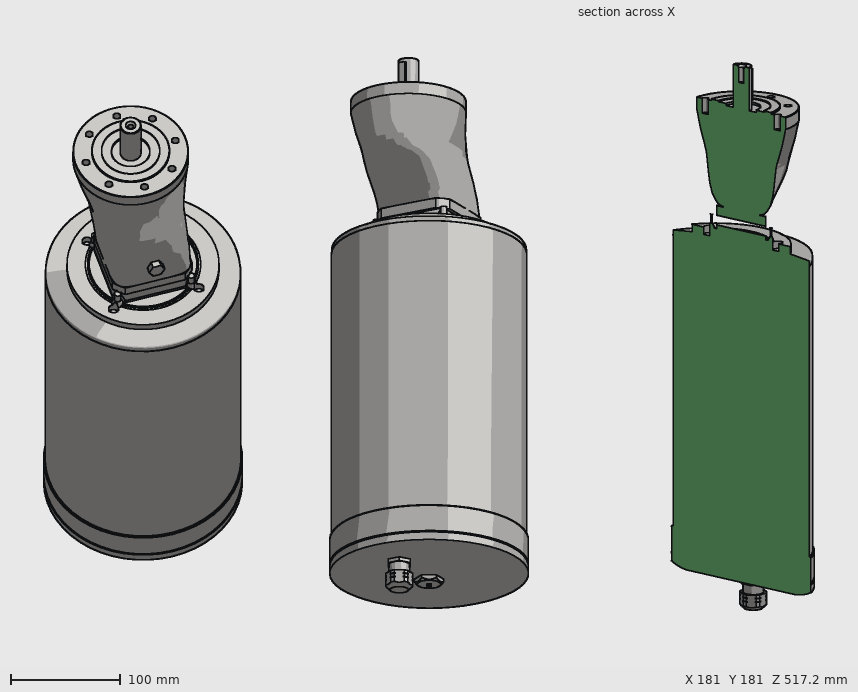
import cadquery as cq
import math


MOTOR_D = 178.0
CAP_D = 181.0
CAP_HEIGHT = 39.5
CAP_EDGE_DROP = 5.5
CAP_EDGE_INSET = 16.0
CAP_GROOVE_Z = 13.0
CAP_GROOVE_WIDTH = 1.2
CAP_GROOVE_DEPTH = 0.4
JOINT_CHAMFER = 1.0
MOTOR_TOP = 322.0
MOTOR_SLOPE_DROP = 2.5
MOTOR_ROUND = 1.5
MOTOR_BAND_DROP = 7.3
MOTOR_STEP = 0.3

PLATE_D = 138.5
PLATE_TOP = 329.0
PLATE_BOLT_CIRCLE = 115.0
PLATE_BOLT_COUNT = 4
PLATE_BOLT_D = 9.0

NECK_ACROSS = 76.0
NECK_CORNER_D = 95.0
NECK_TOP = 352.0
NECK_LEDGE = 342.5
NECK_WAIST_ACROSS = 69.0
NECK_SKIRT_TOP = 333.0
POST_D = 6.0
POST_OFFSET = NECK_ACROSS / 2 - POST_D / 2
FOOT_D = 11.0
FOOT_HEIGHT = 5.0
FOOT_RING_DIAMETERS = (105.0, 101.0, 98.0)
FOOT_RING_STEP = 0.4

OUTPUT_D = 105.0
OUTPUT_X = OUTPUT_D / 2 - CAP_D / 2
FLANGE_BOTTOM = 439.0
FLANGE_TOP = 450.5
FLANGE_BOLT_CIRCLE = 85.0
FLANGE_BOLT_COUNT = 8
FLANGE_BOLT_D = 6.65
FLANGE_BOLT_DEPTH = 14.0
PILOT_D = 71.0
PILOT_HEIGHT = 1.3
RIM_CHAMFER = 0.5
RECESS_D = 53.0
RECESS_DEPTH = 1.0
SEAL_D = 35.0
SEAL_DEPTH = 2.0
SHAFT_D = 19.0
SHAFT_TIP = 489.5
SHAFT_CHAMFER = 0.6
CENTRE_HOLE_D = 4.92
CENTRE_HOLE_DEPTH = 16.0
CENTRE_SINK_D = 9.0
CENTRE_SINK_ANGLE = 90.0
KEY_WIDTH = 6.0
KEY_LENGTH = 30.0
KEY_TIP_GAP = 5.0
KEY_PROUD = 3.0

ROUND = 2.0
NECK_SQUARENESS = math.log(2) / math.log(math.sqrt(2) * NECK_ACROSS / NECK_CORNER_D)
SECTION_POINTS = 32
FLANGE_SECTION = (FLANGE_BOTTOM, OUTPUT_X - OUTPUT_D / 2, OUTPUT_X + OUTPUT_D / 2, OUTPUT_D / 2, ROUND)
SHOULDER_SECTION = (422.0, -89.0, 19.0, 48.5, 2.05)
BAND_TOP_SECTION = (403.5, -84.5, 29.5, 42.5, 2.3)
BAND_BOTTOM_SECTION = (399.0, -82.5, 31.5, 41.5, 2.4)
BEND_SECTION = (385.0, -71.0, 36.0, 40.0, 3.0)
THROAT_SECTION = (366.0, -48.0, 37.8, 38.8, 4.2)
NECK_SECTION = (NECK_TOP, -NECK_ACROSS / 2, NECK_ACROSS / 2, NECK_ACROSS / 2, NECK_SQUARENESS)

OIL_PLUG_ACROSS = 13.0
OIL_PLUG_Z = 373.0
OIL_PLUG_START = 30.0
OIL_PLUG_END = 43.0

GLAND_X = -55.0
GLAND_COLLAR_ACROSS = 20.0
GLAND_COLLAR_HEIGHT = 3.5
GLAND_NECK_D = 19.0
GLAND_NUT_ACROSS = 23.0
GLAND_NUT_D = 24.66
GLAND_NUT_TOP = -12.5
GLAND_GROOVE_WIDTH = 0.4
GLAND_GROOVE_DEPTH = 0.3
GLAND_GROOVES = (-15.8, -19.2)
GLAND_TIP = -27.7
GLAND_TIP_CHAMFER = 4.0
BLANK_PLUG_ACROSS = 23.0
BLANK_PLUG_HEIGHT = 5.0
BLANK_PLUG_CHAMFER = 2.5
BLANK_TIP_D = 4.0
BLANK_TIP_HEIGHT = 1.5

CORNER_ANGLE = 45.0
COLLAR_TURN = 30.0
HEX_SIDES = 6


def cylinder(diameter, bottom, top, x=0.0):
    """Upright cylinder between two heights."""
    return cq.Workplane("XY", origin=(x, 0, bottom)).circle(diameter / 2).extrude(top - bottom)


def corner_diameter(across_flats):
    """Distance across the corners of a hexagon."""
    return across_flats / math.cos(math.pi / HEX_SIDES)


def hexagon(across_flats, bottom, top, x=0.0):
    """Upright hexagonal prism with two corners on the X direction."""
    base = cq.Workplane("XY", origin=(x, 0, bottom))
    return base.polygon(HEX_SIDES, corner_diameter(across_flats)).extrude(top - bottom)


def square(across, bottom, top):
    """Upright square prism on the motor axis."""
    return cq.Workplane("XY", origin=(0, 0, bottom)).rect(across, across).extrude(top - bottom)


def make_motor():
    """Motor can, end cap and top shoulder as one turned body."""
    cap_r = CAP_D / 2
    motor_r = MOTOR_D / 2
    groove_r = cap_r - CAP_GROOVE_DEPTH
    band_z = MOTOR_TOP - MOTOR_BAND_DROP
    rim_r = motor_r - MOTOR_STEP
    rim_z = MOTOR_TOP - MOTOR_SLOPE_DROP
    profile = (
        cq.Workplane("XZ")
        .moveTo(0, 0)
        .lineTo(cap_r - CAP_EDGE_INSET, 0)
        .threePointArc((cap_r - CAP_EDGE_INSET / 3, CAP_EDGE_DROP / 2), (cap_r, CAP_EDGE_DROP))
        .lineTo(cap_r, CAP_GROOVE_Z)
        .lineTo(groove_r, CAP_GROOVE_Z)
        .lineTo(groove_r, CAP_GROOVE_Z + CAP_GROOVE_WIDTH)
        .lineTo(cap_r, CAP_GROOVE_Z + CAP_GROOVE_WIDTH)
        .lineTo(cap_r, CAP_HEIGHT - JOINT_CHAMFER)
        .lineTo(cap_r - JOINT_CHAMFER, CAP_HEIGHT)
        .lineTo(motor_r, CAP_HEIGHT)
        .lineTo(motor_r, band_z)
        .lineTo(rim_r, band_z)
        .lineTo(rim_r, rim_z)
        .lineTo(PLATE_D / 2, MOTOR_TOP)
        .lineTo(0, MOTOR_TOP)
        .close()
    )
    motor = profile.revolve(360, (0, 0, 0), (0, 1, 0))
    rim = motor.edges(cq.NearestToPointSelector((0, 0, rim_z)))
    return rim.fillet(MOTOR_ROUND)


def make_plate_holes(top):
    """Cutters for the mounting bolt holes, from the motor top up to a height."""
    return (
        cq.Workplane("XY", origin=(0, 0, MOTOR_TOP))
        .polarArray(PLATE_BOLT_CIRCLE / 2, CORNER_ANGLE, 360, PLATE_BOLT_COUNT)
        .circle(PLATE_BOLT_D / 2)
        .extrude(top - MOTOR_TOP)
    )


def make_plate():
    """Round mounting plate with its four bolt holes."""
    return cylinder(PLATE_D, MOTOR_TOP, PLATE_TOP).cut(make_plate_holes(PLATE_TOP))


def make_post():
    """Round post under one corner of the neck, with a conical foot."""
    post_r = POST_D / 2
    return (
        cq.Workplane("XZ")
        .moveTo(0, PLATE_TOP)
        .lineTo(FOOT_D / 2, PLATE_TOP)
        .lineTo(post_r, PLATE_TOP + FOOT_HEIGHT)
        .lineTo(post_r, NECK_LEDGE)
        .lineTo(0, NECK_LEDGE)
        .close()
        .revolve(360, (0, 0, 0), (0, 1, 0))
    )


def make_neck():
    """Square neck with rounded corners, tapered waist, corner posts and a stepped foot."""
    head = square(NECK_ACROSS, NECK_LEDGE, NECK_TOP)
    skirt = square(NECK_ACROSS, PLATE_TOP, NECK_SKIRT_TOP)
    waist = (
        cq.Workplane("XY", origin=(0, 0, NECK_SKIRT_TOP))
        .rect(NECK_ACROSS, NECK_ACROSS)
        .workplane(offset=NECK_LEDGE - NECK_SKIRT_TOP)
        .rect(NECK_WAIST_ACROSS, NECK_WAIST_ACROSS)
        .loft(ruled=True)
    )
    neck = head.union(waist).union(skirt)
    neck = neck.intersect(cylinder(NECK_CORNER_D, PLATE_TOP, NECK_TOP))
    for side_x in (-1, 1):
        for side_y in (-1, 1):
            place = (side_x * POST_OFFSET, side_y * POST_OFFSET, 0)
            neck = neck.union(make_post().translate(place))
    for count, ring_d in enumerate(FOOT_RING_DIAMETERS, start=1):
        neck = neck.union(cylinder(ring_d, PLATE_TOP, PLATE_TOP + count * FOOT_RING_STEP))
    return neck.cut(make_plate_holes(NECK_LEDGE))


def section_wire(section):
    """Closed smooth outline of one housing section."""
    height, low_x, high_x, half_y, squareness = section
    half_x = (high_x - low_x) / 2
    centre_x = (high_x + low_x) / 2
    points = []
    for i in range(SECTION_POINTS):
        angle = 2 * math.pi * i / SECTION_POINTS
        c = math.cos(angle)
        s = math.sin(angle)
        reach = (abs(c) ** squareness + abs(s) ** squareness) ** (-1 / squareness)
        points.append(cq.Vector(centre_x + half_x * reach * c, half_y * reach * s, height))
    return cq.Wire.assembleEdges([cq.Edge.makeSpline(points, periodic=True)])


def loft(*sections):
    """Smooth solid through the given housing sections."""
    wires = [section_wire(section) for section in sections]
    return cq.Workplane(cq.Solid.makeLoft(wires))


def make_housing():
    """S-shaped gearbox housing in two shells joined by a narrow band."""
    lower = loft(NECK_SECTION, THROAT_SECTION, BEND_SECTION, BAND_BOTTOM_SECTION)
    band = loft(BAND_BOTTOM_SECTION, BAND_TOP_SECTION)
    upper = loft(BAND_TOP_SECTION, SHOULDER_SECTION, FLANGE_SECTION)
    return lower.union(band).union(upper)


def make_output_flange():
    """Output flange with raised pilot and stepped seal recess."""
    pilot_top = FLANGE_TOP + PILOT_HEIGHT
    recess_floor = pilot_top - RECESS_DEPTH
    flange = cylinder(OUTPUT_D, FLANGE_BOTTOM, FLANGE_TOP, OUTPUT_X)
    flange = flange.faces(">Z").chamfer(RIM_CHAMFER)
    pilot = cylinder(PILOT_D, FLANGE_TOP, pilot_top, OUTPUT_X)
    flange = flange.union(pilot.faces(">Z").chamfer(RIM_CHAMFER))
    flange = flange.cut(cylinder(RECESS_D, recess_floor, pilot_top, OUTPUT_X))
    return flange.cut(cylinder(SEAL_D, recess_floor - SEAL_DEPTH, recess_floor, OUTPUT_X))


def make_flange_holes():
    """Cutters for the blind bolt holes of the output flange."""
    return (
        cq.Workplane("XY", origin=(OUTPUT_X, 0, FLANGE_TOP))
        .polarArray(FLANGE_BOLT_CIRCLE / 2, 0, 360, FLANGE_BOLT_COUNT)
        .circle(FLANGE_BOLT_D / 2)
        .extrude(-FLANGE_BOLT_DEPTH)
    )


def make_shaft():
    """Output shaft with a centre hole and a feather key facing -X."""
    shaft = cylinder(SHAFT_D, FLANGE_BOTTOM, SHAFT_TIP, OUTPUT_X)
    shaft = shaft.faces(">Z").chamfer(SHAFT_CHAMFER)
    shaft = (
        shaft.faces(">Z")
        .workplane(centerOption="CenterOfBoundBox")
        .cskHole(CENTRE_HOLE_D, CENTRE_SINK_D, CENTRE_SINK_ANGLE, CENTRE_HOLE_DEPTH)
    )
    key_depth = 2 * KEY_PROUD
    key_top = SHAFT_TIP - KEY_TIP_GAP
    key = cq.Workplane("XY").box(key_depth, KEY_WIDTH, KEY_LENGTH)
    key = key.translate((OUTPUT_X - SHAFT_D / 2, 0, key_top - KEY_LENGTH / 2))
    return shaft.union(key)


def make_oil_plug():
    """Hexagonal plug head pointing along +X, with two corners on the Y direction."""
    return (
        cq.Workplane("YZ", origin=(OIL_PLUG_START, 0, OIL_PLUG_Z))
        .polygon(HEX_SIDES, corner_diameter(OIL_PLUG_ACROSS))
        .extrude(OIL_PLUG_END - OIL_PLUG_START)
    )


def make_gland():
    """Cable gland: hexagonal collar, round neck, and grooved hexagonal nut with a tapered end."""
    collar = hexagon(GLAND_COLLAR_ACROSS, -GLAND_COLLAR_HEIGHT, 0)
    collar = collar.rotate((0, 0, 0), (0, 0, 1), COLLAR_TURN).translate((GLAND_X, 0, 0))
    neck = cylinder(GLAND_NECK_D, GLAND_NUT_TOP, 0, GLAND_X)
    nut_limit = cylinder(GLAND_NUT_D, GLAND_TIP, GLAND_NUT_TOP, GLAND_X)
    nut_limit = nut_limit.faces("<Z").chamfer(GLAND_TIP_CHAMFER)
    nut = hexagon(GLAND_NUT_ACROSS, GLAND_TIP, GLAND_NUT_TOP, GLAND_X).intersect(nut_limit)
    groove_floor_d = GLAND_NUT_D - 2 * GLAND_GROOVE_DEPTH
    for groove_bottom in GLAND_GROOVES:
        groove_top = groove_bottom + GLAND_GROOVE_WIDTH
        ring = cylinder(2 * GLAND_NUT_D, groove_bottom, groove_top, GLAND_X)
        nut = nut.cut(ring.cut(cylinder(groove_floor_d, groove_bottom, groove_top, GLAND_X)))
    return collar.union(neck).union(nut)


def make_blank_plug():
    """Hexagonal blanking plug with a tapered end and a small tip, on the motor axis."""
    limit = cylinder(corner_diameter(BLANK_PLUG_ACROSS), -BLANK_PLUG_HEIGHT, 0)
    limit = limit.faces("<Z").chamfer(BLANK_PLUG_CHAMFER)
    plug = hexagon(BLANK_PLUG_ACROSS, -BLANK_PLUG_HEIGHT, 0).intersect(limit)
    tip_bottom = -BLANK_PLUG_HEIGHT - BLANK_TIP_HEIGHT
    return plug.union(cylinder(BLANK_TIP_D, tip_bottom, -BLANK_PLUG_HEIGHT))


body = make_motor().union(make_plate()).union(make_neck()).union(make_housing())
body = body.union(make_output_flange()).cut(make_flange_holes())
body = body.union(make_shaft()).union(make_oil_plug())
result = body.union(make_gland()).union(make_blank_plug())